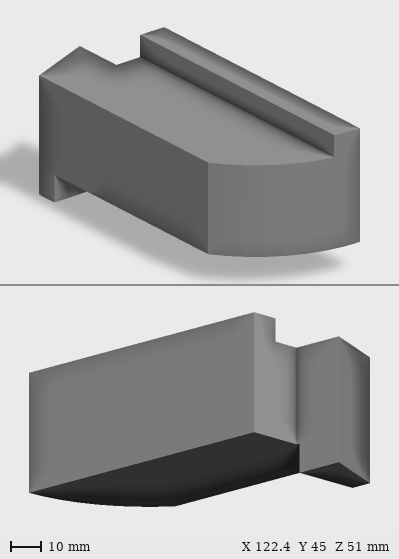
import cadquery as cq
import math

length = 122.4
width = 45.0
height = 51.0

slant_run = 10.0
slant_width = 25.0
corner_notch = 19.3
nose_radius = 55.0

rail_width = 10.0
rail_height = 8.0
foot_length = 18.0
foot_height = 10.0

nose_center_x = length - nose_radius


def nose_x(y):
    """X of the rounded right end at a given Y."""
    return nose_center_x + math.sqrt(nose_radius**2 - (width - y) ** 2)


def make_body():
    """Full-height prism of the plan outline."""
    return (
        cq.Workplane("XY")
        .moveTo(slant_run, 0)
        .lineTo(nose_x(0), 0)
        .threePointArc((nose_x(width / 2), width / 2), (length, width))
        .lineTo(corner_notch, width)
        .lineTo(corner_notch, slant_width)
        .lineTo(0, slant_width)
        .close()
        .extrude(height)
    )


def make_front_step():
    """Material removed in front of the rail, at the top."""
    return cq.Workplane("XY").box(length, width - rail_width, rail_height, centered=False).translate(
        (0, 0, height - rail_height)
    )


def make_underside_step():
    """Material removed to the right of the foot, at the bottom."""
    return cq.Workplane("XY").box(length - foot_length, width, foot_height, centered=False).translate(
        (foot_length, 0, 0)
    )


result = make_body().cut(make_front_step()).cut(make_underside_step())